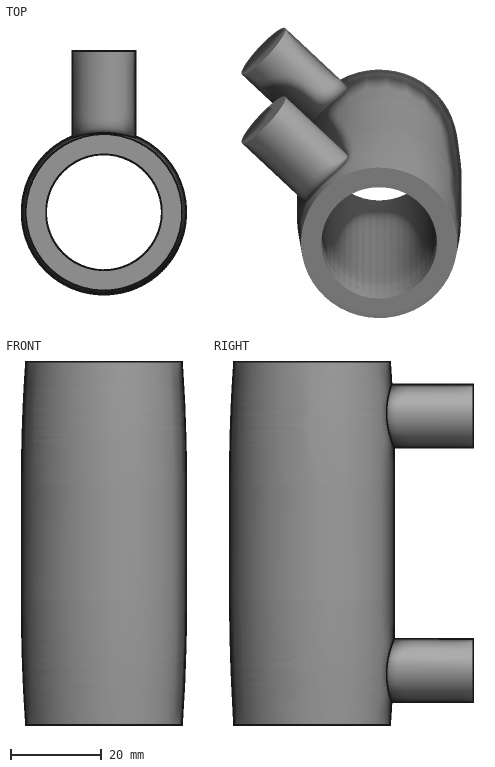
import cadquery as cq
import math

length = 80.0
outer_radius = 18.2
end_radius = 17.2
bore_radius = 12.7
band_height = 25.3

peg_diameter = 14.0
peg_reach = 35.5
peg_spacing = 56.0

half_length = length / 2
half_band = band_height / 2


def make_sleeve():
    """Revolved barrel whose ends taper along arcs tangent to the middle band."""
    taper_length = half_length - half_band
    taper_drop = outer_radius - end_radius
    arc_radius = (taper_length**2 + taper_drop**2) / (2 * taper_drop)
    mid_rise = taper_length / 2
    mid_radius = outer_radius - arc_radius + math.sqrt(arc_radius**2 - mid_rise**2)
    mid_height = half_band + mid_rise
    return (
        cq.Workplane("XZ")
        .moveTo(0, -half_length)
        .lineTo(end_radius, -half_length)
        .threePointArc((mid_radius, -mid_height), (outer_radius, -half_band))
        .lineTo(outer_radius, half_band)
        .threePointArc((mid_radius, mid_height), (end_radius, half_length))
        .lineTo(0, half_length)
        .close()
        .revolve(360, (0, 0, 0), (0, 1, 0))
    )


def make_peg(height):
    """Solid peg from the sleeve axis out to its tip."""
    return cq.Workplane("XZ").center(0, height).circle(peg_diameter / 2).extrude(-peg_reach)


body = make_sleeve()
for side in (-1, 1):
    body = body.union(make_peg(side * peg_spacing / 2))

bore = cq.Workplane("XY").circle(bore_radius).extrude(half_length, both=True)
result = body.cut(bore)